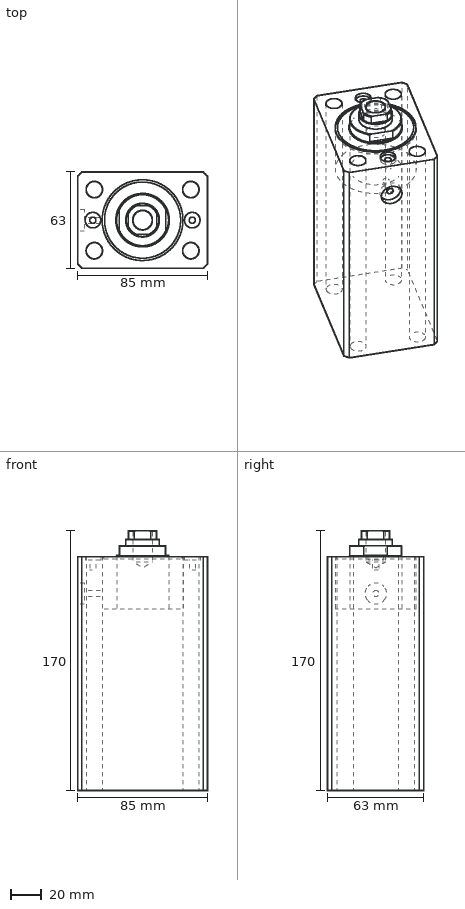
import cadquery as cq
import math


total_height = 170.0
body_length = 85.0
body_width = 63.0
body_height = 153.0
body_corner_chamfer = 2.9

mount_hole_diameter = 10.5
mount_spacing_x = 63.0
mount_spacing_y = 40.0

channel_diameter = 4.0
top_port_spacing = 65.0
top_port_seat_diameter = 10.2
top_port_seat_depth = 2.2
top_port_channel_depth = 8.5
side_port_drop = 24.0
side_port_seat_diameter = 14.0
side_port_seat_depth = 4.2

gland_diameter = 52.9
gland_chamfer = 1.5
gland_length = 34.0
gland_lip_width = 0.5
gland_lip_height = 0.5

rod_diameter = 34.0
rod_edge_chamfer = 0.3
rod_flats_width = 30.3
rod_flats_start = 1.0
collar_height = 7.1
neck_diameter = 22.1
neck_top = 11.4
head_width = 18.5
head_diameter = 21.5
head_edge_chamfer = 0.5
head_bore_diameter = 12.5
head_bore_chamfer = 0.2
head_bore_depth = 20.4
drill_tip_angle = 118.0

recess_floor = body_height - gland_length
side_port_height = body_height - side_port_drop
collar_top = body_height + collar_height
neck_top_height = body_height + neck_top
head_height = total_height - neck_top_height


def make_block():
    """Rectangular block with its four upright edges chamfered."""
    block = cq.Workplane("XY").box(body_length, body_width, body_height, centered=(True, True, False))
    return block.edges("|Z").chamfer(body_corner_chamfer)


def cut_mounting_holes(body):
    """Four holes through the full height of the block."""
    return (
        body.faces(">Z").workplane(origin=(0, 0, 0))
        .rect(mount_spacing_x, mount_spacing_y, forConstruction=True)
        .vertices()
        .hole(mount_hole_diameter)
    )


def cut_top_ports(body):
    """Two seated ports in the top face, one on each side of the gland."""
    return (
        body.faces(">Z").workplane(origin=(0, 0, 0))
        .rarray(top_port_spacing, 1.7, 2, 1)
        .cboreHole(channel_diameter, top_port_seat_diameter, top_port_seat_depth, top_port_channel_depth)
    )


def cut_side_port(body):
    """Seated port in the -X face whose channel runs in to the gland recess."""
    face = cq.Plane(origin=(-body_length / 2, 0, side_port_height), xDir=(0, 1, 0), normal=(1, 0, 0))
    seat = cq.Workplane(face).circle(side_port_seat_diameter / 2).extrude(side_port_seat_depth)
    channel = cq.Workplane(face).circle(channel_diameter / 2).extrude(body_length / 2)
    return body.cut(seat).cut(channel)


def cut_gland_recess(body):
    """Round recess that takes the gland and the rod."""
    recess = cq.Workplane("XY", origin=(0, 0, recess_floor)).circle(gland_diameter / 2).extrude(gland_length)
    return body.cut(recess)


def make_housing():
    body = make_block()
    body = cut_mounting_holes(body)
    body = cut_top_ports(body)
    body = cut_side_port(body)
    return cut_gland_recess(body)


def make_gland():
    """Bushing flush with the housing top, chamfered outside, with a low tapered lip round the rod."""
    floor = cq.Workplane("XY", origin=(0, 0, recess_floor))
    blank = floor.circle(gland_diameter / 2).extrude(gland_length)
    blank = blank.faces(">Z").edges().chamfer(gland_chamfer)
    rod_radius = rod_diameter / 2
    lip_base = cq.Vector(0, 0, body_height)
    lip = cq.Solid.makeCone(rod_radius + gland_lip_width, rod_radius, gland_lip_height, pnt=lip_base)
    bore = floor.circle(rod_radius).extrude(gland_length + gland_lip_height)
    return blank.union(cq.Workplane(lip)).cut(bore)


def make_rod_shaft():
    """Shaft up to the collar top, with two wrench flats facing -X and +X."""
    shaft_length = collar_top - recess_floor
    shaft = cq.Workplane("XY", origin=(0, 0, recess_floor)).circle(rod_diameter / 2).extrude(shaft_length)
    shaft = shaft.faces(">Z").edges().chamfer(rod_edge_chamfer)
    flats_height = collar_height - rod_flats_start
    flats_base = cq.Workplane("XY", origin=(0, 0, body_height + rod_flats_start))
    around_rod = flats_base.rect(rod_diameter, rod_diameter).extrude(flats_height)
    between_flats = flats_base.rect(rod_flats_width, rod_diameter).extrude(flats_height)
    return shaft.cut(around_rod.cut(between_flats))


def make_neck():
    """Round step between the collar and the head."""
    neck = (
        cq.Workplane("XY", origin=(0, 0, collar_top))
        .circle(neck_diameter / 2)
        .extrude(neck_top_height - collar_top)
    )
    return neck.faces(">Z").edges().chamfer(rod_edge_chamfer)


def make_rod_head():
    """Round head with four flats that leave rounded corners."""
    head_base = cq.Workplane("XY", origin=(0, 0, neck_top_height))
    head = head_base.circle(head_diameter / 2).extrude(head_height)
    head = head.faces(">Z").edges().chamfer(head_edge_chamfer)
    square = head_base.rect(head_width, head_width).extrude(head_height)
    return head.intersect(square)


def make_head_bore():
    """Blind drilled hole down the rod axis, with a chamfered mouth and a conical tip."""
    bore_radius = head_bore_diameter / 2
    tip_depth = bore_radius / math.tan(math.radians(drill_tip_angle / 2))
    bore_bottom = total_height - head_bore_depth
    return (
        cq.Workplane("XZ")
        .moveTo(0, total_height)
        .lineTo(bore_radius + head_bore_chamfer, total_height)
        .lineTo(bore_radius, total_height - head_bore_chamfer)
        .lineTo(bore_radius, bore_bottom)
        .lineTo(0, bore_bottom - tip_depth)
        .close()
        .revolve(360, (0, 0, 0), (0, 1, 0))
    )


def make_rod():
    rod = make_rod_shaft().union(make_neck()).union(make_rod_head())
    return rod.cut(make_head_bore())


housing = make_housing()
gland = make_gland()
rod = make_rod()

result = cq.Compound.makeCompound([housing.val(), gland.val(), rod.val()])